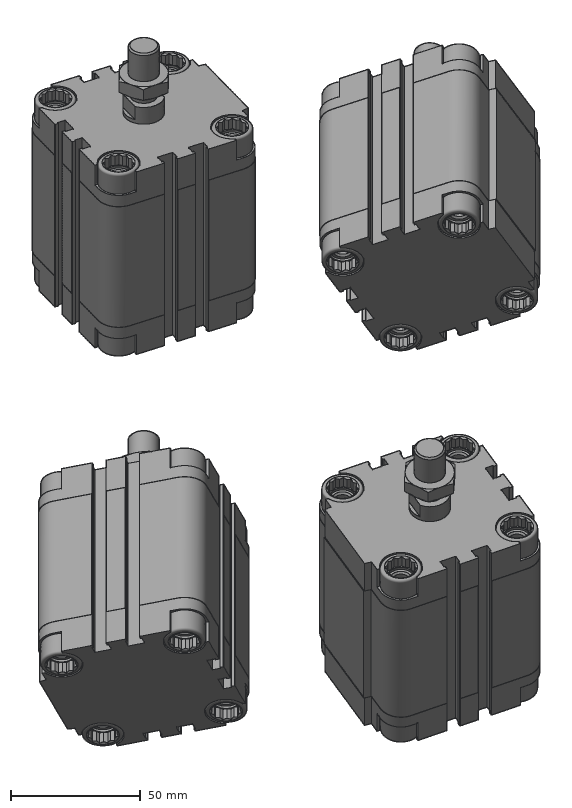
import cadquery as cq
import math

housing_height = 85.5
housing_width = 68.0
cap_height = 14.5
cap_inset = 0.1
rail_height = 3.0
cap_rail_height = 2.8
rail_top_width = 33.9
rail_base_width = 34.7
half_width = housing_width / 2

slot_offset = 6.8
slot_width = 6.7
slot_depth = 4.9
slot_mouth_width = 5.5
slot_lip = 1.6
slot_mouth_chamfer = 0.2

screw_offset = 25.0
head_diameter = 16.0
head_height = 9.2
recess_diameter = 16.5
head_fillet = 0.9
relief_start = 22.1
socket_flats = 10.4
socket_bore = 10.4
socket_mouth_diameter = 12.8
socket_mouth_height = 0.7
socket_point_depth = 5.0
socket_depth = 6.1
countersink_diameter = 8.2
screw_bore = 6.7

rod_diameter = 16.0
rod_flats = 13.0
rod_flats_base = 1.6
rod_shank_length = 7.8
undercut_diameter = 10.4
undercut_length = 2.2
thread_diameter = 12.0
thread_chamfer = 0.7
total_height = 117.0

nut_flats = 19.0
nut_thickness = 6.0
nut_bottom = 98.2
nut_chamfer_angle = 20.0

corners = [(x * screw_offset, y * screw_offset) for x in (-1, 1) for y in (-1, 1)]


def corner_diameter(flats):
    """Across-corners size of a hexagon."""
    return flats / math.cos(math.radians(30))


def frustum(bottom_diameter, top_diameter, height):
    """Straight cone piece standing on the XY plane."""
    return cq.Workplane(
        cq.Solid.makeCone(bottom_diameter / 2, top_diameter / 2, height)
    )


def housing_section(inset, rail_rise, height):
    """Rounded square block with the rail on +Y, all sides set in by the inset."""
    side = housing_width - 2 * inset
    corner_radius = half_width - screw_offset - inset
    block = cq.Workplane("XY").rect(side, side).extrude(height).edges("|Z").fillet(corner_radius)
    rail_base = half_width - inset
    rail_top = rail_base + rail_rise
    rail = (
        cq.Workplane("XY")
        .polyline([
            (-rail_base_width / 2, 0),
            (-rail_base_width / 2, rail_base),
            (-rail_top_width / 2, rail_top),
            (rail_top_width / 2, rail_top),
            (rail_base_width / 2, rail_base),
            (rail_base_width / 2, 0),
        ])
        .close()
        .extrude(height)
    )
    return block.union(rail)


def t_slot():
    """Full-height T-slot cutter for the -Y side, centred on X = 0."""
    outer = -half_width
    lip = outer + slot_lip
    floor = outer + slot_depth
    neck = slot_mouth_width / 2
    mouth = neck + slot_mouth_chamfer
    right = [
        (mouth, outer),
        (neck, outer + slot_mouth_chamfer + cap_inset),
        (neck, lip),
        (slot_width / 2, lip),
        (slot_width / 2, floor),
    ]
    left = [(-x, y) for x, y in reversed(right)]
    return cq.Workplane("XY").polyline(right + left).close().extrude(housing_height)


def corner_relief():
    """Cap corner cut away around one screw head, at the +X +Y corner of the bottom cap."""
    size = half_width - relief_start
    middle = (relief_start + half_width) / 2
    block = cq.Workplane("XY").box(size, size, head_height, centered=(True, True, False))
    head = (
        cq.Workplane("XY")
        .center(screw_offset, screw_offset)
        .circle(head_diameter / 2)
        .extrude(head_height)
        .faces("<Z").edges().fillet(head_fillet)
    )
    recess = (
        cq.Workplane("XY")
        .center(screw_offset, screw_offset)
        .circle(recess_diameter / 2)
        .extrude(head_height)
    )
    return block.translate((middle, middle, 0)).union(recess).cut(head)


def screw_socket():
    """Twelve-point socket with a chamfered mouth and a countersink, opening at Z = 0."""
    socket = cq.Workplane("XY").circle(socket_bore / 2).extrude(socket_depth)
    hexagon = cq.Workplane("XY").polygon(6, corner_diameter(socket_flats)).extrude(socket_point_depth)
    for angle in (0, 30):
        socket = socket.union(hexagon.rotate((0, 0, 0), (0, 0, 1), angle))
    mouth = frustum(socket_mouth_diameter, socket_bore, socket_mouth_height)
    countersink_height = (countersink_diameter - screw_bore) / 2
    countersink = frustum(countersink_diameter, screw_bore, countersink_height)
    return socket.union(mouth).union(countersink.translate((0, 0, socket_depth)))


def at_both_ends(cutter):
    """The cutter of the bottom cap together with its mirror image in the top cap."""
    top = cutter.mirror("XY").translate((0, 0, housing_height))
    return cutter.add(top)


def make_housing():
    """Slotted barrel and both end caps with their screw heads, as one solid."""
    barrel_height = housing_height - 2 * cap_height
    housing = housing_section(cap_inset, cap_rail_height, housing_height)
    barrel = housing_section(0, rail_height, barrel_height).translate((0, 0, cap_height))
    housing = housing.union(barrel)

    for side_angle in (-90, 0, 90):
        for offset in (-slot_offset, slot_offset):
            slot = t_slot().translate((offset, 0, 0))
            housing = housing.cut(slot.rotate((0, 0, 0), (0, 0, 1), side_angle))

    for end in at_both_ends(corner_relief()).vals():
        for angle in (0, 90, 180, 270):
            housing = housing.cut(cq.Workplane(end).rotate((0, 0, 0), (0, 0, 1), angle))

    for end in at_both_ends(screw_socket()).vals():
        for x, y in corners:
            housing = housing.cut(cq.Workplane(end).translate((x, y, 0)))

    bores = cq.Workplane("XY").pushPoints(corners).circle(screw_bore / 2).extrude(housing_height)
    return housing.cut(bores)


def make_rod():
    """Rod standing on the top cap: shank with two flats, undercut and thread."""
    shank = cq.Workplane("XY").circle(rod_diameter / 2).extrude(rod_shank_length)
    flats = (
        cq.Workplane("XY")
        .workplane(offset=rod_flats_base)
        .rect(rod_diameter, rod_flats)
        .extrude(rod_shank_length)
    )
    collar = cq.Workplane("XY").circle(rod_diameter / 2).extrude(rod_flats_base)
    shank = shank.intersect(flats).union(collar)

    thread_start = rod_shank_length + undercut_length
    undercut = cq.Workplane("XY").circle(undercut_diameter / 2).extrude(thread_start)
    thread = (
        cq.Workplane("XY")
        .workplane(offset=thread_start)
        .circle(thread_diameter / 2)
        .extrude(total_height - housing_height - thread_start)
        .faces("<Z or >Z").edges().chamfer(thread_chamfer)
    )
    return shank.union(undercut).union(thread).translate((0, 0, housing_height))


def make_nut():
    """Hexagon nut with chamfered corners, its flats facing -X and +X."""
    corner = corner_diameter(nut_flats)
    hexagon = (
        cq.Workplane("XY")
        .polygon(6, corner)
        .extrude(nut_thickness)
        .rotate((0, 0, 0), (0, 0, 1), 30)
    )
    chamfer_height = (corner - nut_flats) / 2 * math.tan(math.radians(nut_chamfer_angle))
    chamfered_disc = (
        cq.Workplane("XZ")
        .polyline([
            (0, 0),
            (nut_flats / 2, 0),
            (corner / 2, chamfer_height),
            (corner / 2, nut_thickness - chamfer_height),
            (nut_flats / 2, nut_thickness),
            (0, nut_thickness),
        ])
        .close()
        .revolve(360, (0, 0), (0, 1))
    )
    bore = cq.Workplane("XY").circle(thread_diameter / 2).extrude(nut_thickness)
    return hexagon.intersect(chamfered_disc).cut(bore).translate((0, 0, nut_bottom))


housing = make_housing()
rod = make_rod()
nut = make_nut()

result = cq.Compound.makeCompound([housing.val(), rod.val(), nut.val()])